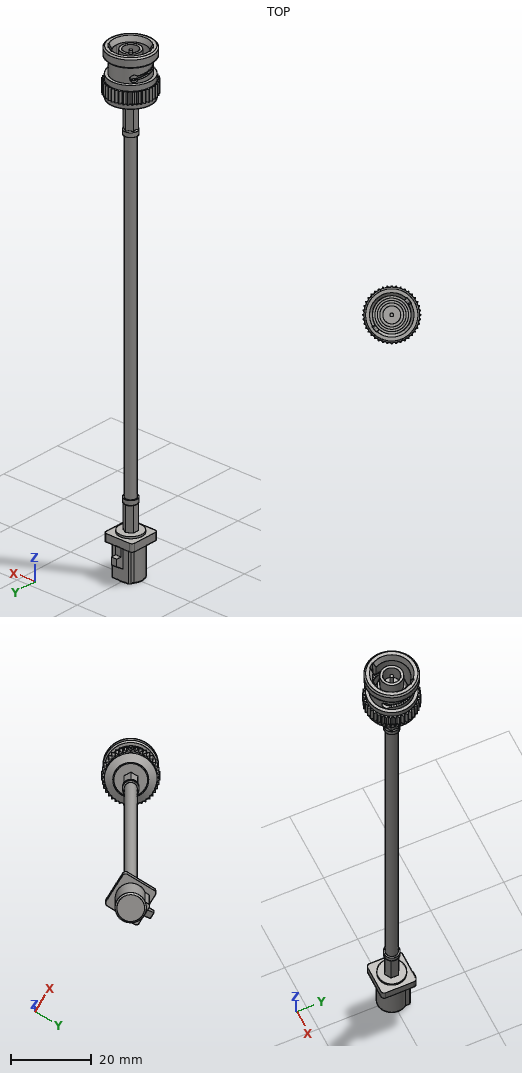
import cadquery as cq
import math

TOTAL_LENGTH = 149.2
NUT_BOTTOM = 133.7
FERRULE_LENGTH = 9.3
COLLAR_LENGTH = 1.8

RIM_RADIUS = 13.9 / 2
RIM_HEIGHT = 3.0
RIM_CHAMFER = 0.5
BARREL_RADIUS = 5.7
SHOULDER_RADIUS = 6.5
SHOULDER_TOP = 141.5
KNURL_RADIUS = 14.5 / 2
KNURL_TOP = 139.8
KNURL_BOTTOM = 136.2
KNURL_TEETH = 40
KNURL_DEPTH = 0.6
KNURL_TIP_SHARE = 0.1
TAPER_TOP = 134.7
TAPER_END_RADIUS = 4.5
NUT_BORE_RADIUS = 4.8
MOUTH_RADIUS = 5.5
MOUTH_DEPTH = 1.5

SLOT_COUNT = 2
ENTRY_ANGLE = 40.0
ENTRY_WIDTH = 1.6
ENTRY_BOTTOM = 143.4
RAMP_WIDTH = 1.0
RAMP_STEPS = 12
LOCK_ANGLE = -40.0
LOCK_RADIUS = 1.0
LOCK_HEIGHT = 142.8

PLUG_BASE_TOP = 138.0
PLUG_RADIUS = 4.2
PLUG_STEP_TOP = 141.8
STEP_RADIUS = 3.6
STEP_TOP = 144.0
SLEEVE_RADIUS = 3.0
SLEEVE_BORE_RADIUS = 2.2
SLEEVE_TOP = 148.3
SLEEVE_FLOOR = 144.0
PIN_RADIUS = 0.5
PIN_TOP = 148.0

HEX_FLATS = 3.5
COLLAR_CHAMFER = 0.5
COLLAR_RADIUS = 2.1
CABLE_RADIUS = 1.6
CRIMPED_CABLE_RADIUS = 1.2

SOCKET_RADIUS = 3.9
SOCKET_CHAMFER = 0.5
FLANGE_SIZE = 9.5
FLANGE_BOTTOM = 10.3
FLANGE_TOP = 12.7
FLANGE_CORNER_RADIUS = 0.9
BOSS_RADIUS = 3.7
BOSS_TOP = 13.3
RIB_WIDTH = 6.3
RIB_FACE_Y = 3.9
RIB_BOTTOM = 0.5
RIB_CHAMFER = 0.5
KEY_WIDTH = 1.8
KEY_FACE_Y = 4.6
LATCH_TIP_Y = 6.3
LATCH_TOP = 7.8
LATCH_TIP_BOTTOM = 5.5
LATCH_BOTTOM = 4.0

RIM_BOTTOM = TOTAL_LENGTH - RIM_HEIGHT


def cylinder(radius, bottom, top):
    return cq.Workplane("XY").workplane(offset=bottom).circle(radius).extrude(top - bottom)


def turn(workplane, angle):
    return workplane.rotate((0, 0, 0), (0, 0, 1), angle)


def radial_rod(radius, angle, height):
    """Rod across the nut wall, pointing outward at the given angle and height."""
    rod = (
        cq.Workplane("YZ", origin=(NUT_BORE_RADIUS / 2, 0, height))
        .circle(radius)
        .extrude(BARREL_RADIUS - NUT_BORE_RADIUS / 2)
    )
    return turn(rod, angle)


def ramp_segment(start_angle, start_height, end_angle, end_height):
    """Short straight piece of the ramp between two points of the barrel wall."""
    mid_angle = (start_angle + end_angle) / 2
    length = BARREL_RADIUS * math.radians(start_angle - end_angle)
    rise = start_height - end_height
    piece = (
        cq.Workplane("YZ", origin=(NUT_BORE_RADIUS / 2, 0, (start_height + end_height) / 2))
        .transformed(rotate=(0, 0, math.degrees(math.atan2(rise, length))))
        .rect(math.hypot(length, rise), RAMP_WIDTH)
        .extrude(BARREL_RADIUS - NUT_BORE_RADIUS / 2)
    )
    return turn(piece, mid_angle)


def bayonet_slot():
    """Entry groove from the rim, a sloping ramp and a round locking hole at its end."""
    entry = (
        cq.Workplane("XY", origin=(BARREL_RADIUS / 2, 0, ENTRY_BOTTOM))
        .rect(BARREL_RADIUS, ENTRY_WIDTH)
        .extrude(TOTAL_LENGTH - ENTRY_BOTTOM)
    )
    slot = turn(entry, ENTRY_ANGLE)
    ramp_start = ENTRY_BOTTOM + RAMP_WIDTH / 2
    angle_step = (LOCK_ANGLE - ENTRY_ANGLE) / RAMP_STEPS
    height_step = (LOCK_HEIGHT - ramp_start) / RAMP_STEPS
    for i in range(RAMP_STEPS):
        angle = ENTRY_ANGLE + i * angle_step
        height = ramp_start + i * height_step
        slot = slot.union(ramp_segment(angle, height, angle + angle_step, height + height_step))
    return slot.union(radial_rod(LOCK_RADIUS, LOCK_ANGLE, LOCK_HEIGHT))


def knurl_gap():
    """V-shaped groove running the height of the knurl, centred on the +X side."""
    half_pitch = math.pi / KNURL_TEETH
    flank = KNURL_RADIUS * math.sin(half_pitch) * (1 - KNURL_TIP_SHARE)
    edge_x = KNURL_RADIUS * math.cos(half_pitch * (1 - KNURL_TIP_SHARE))
    outer_x = KNURL_RADIUS + KNURL_DEPTH
    return (
        cq.Workplane("XY")
        .workplane(offset=KNURL_BOTTOM)
        .moveTo(KNURL_RADIUS - KNURL_DEPTH, 0)
        .lineTo(edge_x, flank)
        .lineTo(outer_x, flank)
        .lineTo(outer_x, -flank)
        .lineTo(edge_x, -flank)
        .close()
        .extrude(KNURL_TOP - KNURL_BOTTOM)
    )


def tapered_mouth():
    """Cone that narrows from the rim down to the bore."""
    return (
        cq.Workplane("XY")
        .workplane(offset=TOTAL_LENGTH)
        .circle(MOUTH_RADIUS)
        .workplane(offset=-MOUTH_DEPTH)
        .circle(NUT_BORE_RADIUS)
        .loft()
    )


def make_nut():
    outline = (
        cq.Workplane("XZ")
        .moveTo(0, NUT_BOTTOM)
        .lineTo(TAPER_END_RADIUS, NUT_BOTTOM)
        .lineTo(SHOULDER_RADIUS, TAPER_TOP)
        .lineTo(SHOULDER_RADIUS, KNURL_BOTTOM)
        .lineTo(KNURL_RADIUS, KNURL_BOTTOM)
        .lineTo(KNURL_RADIUS, KNURL_TOP)
        .lineTo(SHOULDER_RADIUS, KNURL_TOP)
        .lineTo(SHOULDER_RADIUS, SHOULDER_TOP)
        .lineTo(BARREL_RADIUS, SHOULDER_TOP)
        .lineTo(BARREL_RADIUS, RIM_BOTTOM)
        .lineTo(RIM_RADIUS - RIM_CHAMFER, RIM_BOTTOM)
        .lineTo(RIM_RADIUS, RIM_BOTTOM + RIM_CHAMFER)
        .lineTo(RIM_RADIUS, TOTAL_LENGTH - RIM_CHAMFER)
        .lineTo(RIM_RADIUS - RIM_CHAMFER, TOTAL_LENGTH)
        .lineTo(0, TOTAL_LENGTH)
        .close()
    )
    nut = outline.revolve(360, (0, 0, 0), (0, 1, 0))
    for i in range(KNURL_TEETH):
        nut = nut.cut(turn(knurl_gap(), (i + 0.5) * 360 / KNURL_TEETH))
    nut = nut.cut(cylinder(PLUG_RADIUS, NUT_BOTTOM, PLUG_BASE_TOP))
    nut = nut.cut(cylinder(NUT_BORE_RADIUS, PLUG_BASE_TOP, TOTAL_LENGTH))
    nut = nut.cut(tapered_mouth())
    for i in range(SLOT_COUNT):
        nut = nut.cut(turn(bayonet_slot(), i * 360 / SLOT_COUNT))
    return nut


def make_plug():
    plug = cylinder(PLUG_RADIUS, NUT_BOTTOM, PLUG_STEP_TOP)
    plug = plug.union(cylinder(STEP_RADIUS, PLUG_STEP_TOP, STEP_TOP))
    plug = plug.union(cylinder(SLEEVE_RADIUS, STEP_TOP, SLEEVE_TOP))
    plug = plug.cut(cylinder(SLEEVE_BORE_RADIUS, SLEEVE_FLOOR, SLEEVE_TOP))
    return plug.union(cylinder(PIN_RADIUS, SLEEVE_FLOOR, PIN_TOP))


def make_ferrule(bottom, collar_bottom, crimp_side):
    """Hexagonal crimp with corners toward Y and a round collar, bevelled on its crimp side."""
    across_corners = HEX_FLATS / math.cos(math.pi / 6)
    ferrule = turn(
        cq.Workplane("XY").workplane(offset=bottom).polygon(6, across_corners).extrude(FERRULE_LENGTH), 90
    )
    collar = cylinder(COLLAR_RADIUS, collar_bottom, collar_bottom + COLLAR_LENGTH)
    collar = collar.faces(crimp_side).chamfer(COLLAR_CHAMFER)
    ferrule = ferrule.union(collar)
    return ferrule.cut(cylinder(CRIMPED_CABLE_RADIUS, bottom, bottom + FERRULE_LENGTH))


def make_cable():
    """Round cable, narrowed where the two ferrules grip it."""
    cable = cylinder(CRIMPED_CABLE_RADIUS, BOSS_TOP, NUT_BOTTOM)
    return cable.union(cylinder(CABLE_RADIUS, BOSS_TOP + FERRULE_LENGTH, NUT_BOTTOM - FERRULE_LENGTH))


def make_latch_key():
    """Key under the flange that steps out into a latch with a sloping lower side."""
    return (
        cq.Workplane("YZ")
        .moveTo(0, FLANGE_BOTTOM)
        .lineTo(KEY_FACE_Y, FLANGE_BOTTOM)
        .lineTo(KEY_FACE_Y, LATCH_TOP)
        .lineTo(LATCH_TIP_Y, LATCH_TOP)
        .lineTo(LATCH_TIP_Y, LATCH_TIP_BOTTOM)
        .lineTo(SOCKET_RADIUS, LATCH_BOTTOM)
        .lineTo(0, LATCH_BOTTOM)
        .close()
        .extrude(KEY_WIDTH / 2, both=True)
    )


def make_socket():
    """Round socket with a rib along its back, under a square flange."""
    socket = cylinder(SOCKET_RADIUS, 0, FLANGE_BOTTOM).faces("<Z").chamfer(SOCKET_CHAMFER)
    rib = (
        cq.Workplane("XY", origin=(0, RIB_FACE_Y / 2, RIB_BOTTOM))
        .rect(RIB_WIDTH, RIB_FACE_Y)
        .extrude(FLANGE_BOTTOM - RIB_BOTTOM)
        .edges("|Z and >Y")
        .chamfer(RIB_CHAMFER)
    )
    flange = (
        cq.Workplane("XY")
        .workplane(offset=FLANGE_BOTTOM)
        .rect(FLANGE_SIZE, FLANGE_SIZE)
        .extrude(FLANGE_TOP - FLANGE_BOTTOM)
        .edges("|Z")
        .fillet(FLANGE_CORNER_RADIUS)
    )
    boss = cylinder(BOSS_RADIUS, FLANGE_TOP, BOSS_TOP)
    return socket.union(rib).union(make_latch_key()).union(flange).union(boss)


nut = make_nut()
plug = make_plug()
cable = make_cable()
socket = make_socket()

upper_bottom = NUT_BOTTOM - FERRULE_LENGTH
lower_bottom = BOSS_TOP
ferrule_places = [
    (upper_bottom, upper_bottom, ">Z"),
    (lower_bottom, lower_bottom + FERRULE_LENGTH - COLLAR_LENGTH, "<Z"),
]
ferrules = [make_ferrule(*place).val() for place in ferrule_places]

result = cq.Compound.makeCompound([nut.val(), plug.val(), cable.val(), *ferrules, socket.val()])